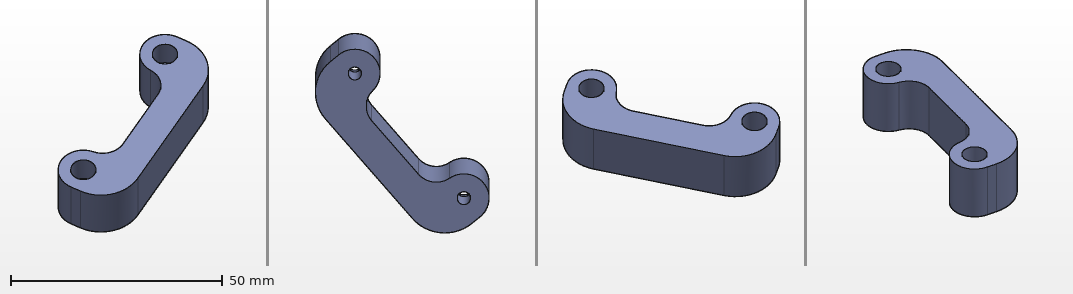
import cadquery as cq
import math

length = 52.0
width = 18.5
height = 14.0

end_radius = 6.0
corner_radius = 10.0
web_thickness = 8.1
inner_fillet_radius = 5.5

hole_diameter = 3.1
counterbore_diameter = 6.0
counterbore_depth = height / 2

half_length = length / 2
hole_x = end_radius
hole_y = half_length - end_radius
corner_x = width - corner_radius
corner_y = half_length - corner_radius
inner_wall_x = width - web_thickness

fillet_x = inner_wall_x - inner_fillet_radius
centre_distance = end_radius + inner_fillet_radius
fillet_y = hole_y - math.sqrt(centre_distance**2 - (fillet_x - hole_x) ** 2)
end_share = end_radius / centre_distance
tangent_x = hole_x + (fillet_x - hole_x) * end_share
tangent_y = hole_y + (fillet_y - hole_y) * end_share
tangent_angle = math.atan2(tangent_y - fillet_y, tangent_x - fillet_x)


def on_circle(x, y, radius, angle):
    """Point on a circle at an angle in radians."""
    return (x + radius * math.cos(angle), y + radius * math.sin(angle))


def mirrored(point):
    """The matching point on the other side of y = 0."""
    return (point[0], -point[1])


corner_middle = on_circle(corner_x, corner_y, corner_radius, math.pi / 4)
end_middle = (0, hole_y)
fillet_middle = on_circle(fillet_x, fillet_y, inner_fillet_radius, tangent_angle / 2)
corner_end = (corner_x, half_length)
end_start = (hole_x, half_length)
tangent_point = (tangent_x, tangent_y)
fillet_end = (inner_wall_x, fillet_y)

body = (
    cq.Workplane("XY")
    .moveTo(width, -corner_y)
    .lineTo(width, corner_y)
    .threePointArc(corner_middle, corner_end)
    .lineTo(*end_start)
    .threePointArc(end_middle, tangent_point)
    .threePointArc(fillet_middle, fillet_end)
    .lineTo(*mirrored(fillet_end))
    .threePointArc(mirrored(fillet_middle), mirrored(tangent_point))
    .threePointArc(mirrored(end_middle), mirrored(end_start))
    .lineTo(*mirrored(corner_end))
    .threePointArc(mirrored(corner_middle), (width, -corner_y))
    .close()
    .extrude(height)
)

result = (
    body.faces(">Z")
    .workplane(origin=(0, 0, height))
    .pushPoints([(hole_x, hole_y), (hole_x, -hole_y)])
    .cboreHole(hole_diameter, counterbore_diameter, counterbore_depth)
)